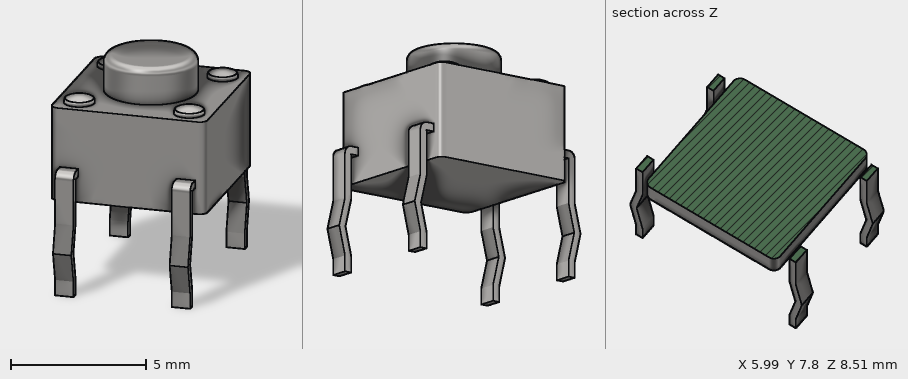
import cadquery as cq

body_side = 5.99
body_height = 3.61
body_corner_radius = 0.3

button_radius = 1.75
button_top = 5.01
button_edge_radius = 0.3

rivet_offset = 2.12
rivet_radius = 0.575
rivet_straight_height = 0.03
rivet_rim_height = 0.16
rivet_crown_radius = 0.53
rivet_height = 0.29

leg_spacing = 4.5
leg_width = 0.71
leg_thickness = 0.3
leg_top = 1.315
leg_outer_y = 3.63
leg_bend_radius = 0.3
kink_reach = 3.9
kink_start = -0.69
kink_apex = -1.78
kink_end = -2.89
leg_bottom = -3.5


def make_body():
    body = cq.Workplane("XY").rect(body_side, body_side).extrude(body_height)
    return body.edges("|Z").fillet(body_corner_radius)


def make_button():
    button = cq.Workplane("XY").circle(button_radius).extrude(button_top)
    return button.faces(">Z").edges().fillet(button_edge_radius)


def make_rivet(x, y):
    """Low dome on a rounded rim, revolved about its own vertical axis."""
    crown_rise = rivet_height - rivet_rim_height
    crown_sphere_radius = (rivet_crown_radius**2 + crown_rise**2) / (2 * crown_rise)
    profile = (
        cq.Workplane("XZ")
        .lineTo(rivet_radius, 0)
        .lineTo(rivet_radius, rivet_straight_height)
        .tangentArcPoint((rivet_crown_radius, rivet_rim_height), relative=False)
        .radiusArc((0, rivet_height), -crown_sphere_radius)
        .close()
    )
    rivet = profile.revolve(360, (0, 0, 0), (0, 1, 0))
    return rivet.translate((x, y, body_height))


def make_leg(x, side):
    """Terminal leaving the housing on the given Y side (+1 or -1)."""
    outer_y = leg_outer_y
    inner_y = outer_y - leg_thickness
    root_y = body_side / 2 - leg_thickness
    kink_inner_y = kink_reach - leg_thickness
    leg = (
        cq.Workplane("YZ")
        .moveTo(root_y, leg_top)
        .lineTo(outer_y - leg_bend_radius, leg_top)
        .radiusArc((outer_y, leg_top - leg_bend_radius), leg_bend_radius)
        .lineTo(outer_y, kink_start)
        .lineTo(kink_reach, kink_apex)
        .lineTo(outer_y, kink_end)
        .lineTo(outer_y, leg_bottom)
        .lineTo(inner_y, leg_bottom)
        .lineTo(inner_y, kink_end)
        .lineTo(kink_inner_y, kink_apex)
        .lineTo(inner_y, kink_start)
        .lineTo(inner_y, leg_top - leg_thickness)
        .lineTo(root_y, leg_top - leg_thickness)
        .close()
        .extrude(leg_width / 2, both=True)
    )
    if side < 0:
        leg = leg.mirror("XZ")
    return leg.translate((x, 0, 0))


result = make_body().union(make_button())
for x_side in (-1, 1):
    for y_side in (-1, 1):
        result = result.union(make_rivet(x_side * rivet_offset, y_side * rivet_offset))
        result = result.union(make_leg(x_side * leg_spacing / 2, y_side))